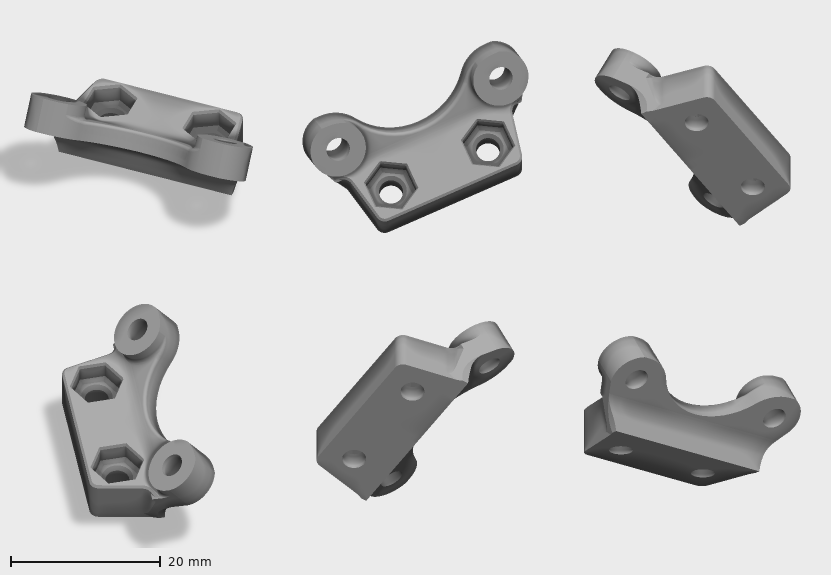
import cadquery as cq
import math

BASE_DEPTH = 9.65
BASE_HEIGHT = 6.3
BASE_FRONT_HALF_WIDTH = 12.4
BASE_BACK_HALF_WIDTH = 10.4
BACK_CORNER_RADIUS = 1.25
TOP_CHAMFER = 0.3

SCREW_X = 7.1
SCREW_Y = 5.4
SCREW_DIAMETER = 3.2
NUT_ACROSS_FLATS = 5.95
NUT_WALL_BOTTOM = 3.7
NUT_MOUTH_OFFSET = 0.2
NUT_MOUTH_DEPTH = 0.4
NUT_SEAT_OFFSET = 0.55
NUT_SEAT_DEPTH = 0.4
SEAT_CONE_DIAMETER = 4.2
SEAT_CONE_DEPTH = 0.5

ARM_ANGLE = 35.0
ARM_THICKNESS = 2.65
ARM_REACH = 8.2
ARM_ROOT_REACH = -0.5
BEND_LINE_Z = 3.78
BEND_RADIUS = 2.5
FLANK_REACH = 3.2
FLANK_ANGLE = 27.0

FLARE_START_Y = 2.9
FLARE_RADIUS = 1.3
FLARE_SLOPE_ANGLE = 26.0
WEB_MID_HALF_WIDTH = 13.14

BOSS_X = 11.915
BOSS_RADIUS = 3.8
BOSS_REACH = 4.55
BOSS_HEIGHT = 4.6
BOSS_HOLE_DIAMETER = 3.2
BOSS_FILLET = 0.5
OPENING_RADIUS = 9.4
OPENING_APEX_REACH = 1.83
SHOULDER_RADIUS = 5.25
OPENING_EDGE_FILLET = 0.45

TOLERANCE = 0.01

COS_ARM = math.cos(math.radians(ARM_ANGLE))
SIN_ARM = math.sin(math.radians(ARM_ANGLE))
TAN_FLANK = math.tan(math.radians(FLANK_ANGLE))
LOWER_TANGENT = BEND_RADIUS * math.tan(math.radians((90 - ARM_ANGLE) / 2))
UPPER_TANGENT = BEND_RADIUS * math.tan(math.radians(ARM_ANGLE / 2))

FLANK_X = BOSS_X + math.sqrt(BOSS_RADIUS**2 - (BOSS_REACH - FLANK_REACH) ** 2)
ROOT_REACH = LOWER_TANGENT
ROOT_X = FLANK_X - (FLANK_REACH - ROOT_REACH) * TAN_FLANK

ARM_PLANE = cq.Plane(origin=(0, 0, BEND_LINE_Z), xDir=(-1, 0, 0), normal=(0, SIN_ARM, COS_ARM))


def flank_x_at(reach):
    """Half width of the arm where its straight flanks pass the given reach."""
    return FLANK_X - (FLANK_REACH - reach) * TAN_FLANK


def arm_point(reach, height):
    """(Y, Z) of a point on the arm, from its reach and its height above the underside."""
    y = height * SIN_ARM - reach * COS_ARM
    z = BEND_LINE_Z + height * COS_ARM + reach * SIN_ARM
    return y, z


CREASE_Y = (BEND_LINE_Z + ARM_THICKNESS / COS_ARM - BASE_HEIGHT) * COS_ARM / SIN_ARM


def chamfer_top_rim(body, back_y):
    """Chamfer the outer edges of the base top that lie between the crease and back_y."""
    rim = cq.selectors.BoxSelector(
        (-BOSS_X - BOSS_RADIUS, CREASE_Y + TOLERANCE, BASE_HEIGHT - TOLERANCE),
        (BOSS_X + BOSS_RADIUS, back_y - TOLERANCE, BASE_HEIGHT + TOLERANCE),
    )
    return body.edges(rim).chamfer(TOP_CHAMFER)


def make_base():
    base = (
        cq.Workplane("XY")
        .polyline([
            (-BASE_FRONT_HALF_WIDTH, 0),
            (BASE_FRONT_HALF_WIDTH, 0),
            (BASE_BACK_HALF_WIDTH, BASE_DEPTH),
            (-BASE_BACK_HALF_WIDTH, BASE_DEPTH),
        ])
        .close()
        .extrude(BASE_HEIGHT)
    )
    base = base.edges("|Z and >Y").fillet(BACK_CORNER_RADIUS)
    overhang = (
        cq.Workplane("YZ")
        .polyline([(0, 0), (CREASE_Y, BASE_HEIGHT), (0, BASE_HEIGHT)])
        .close()
        .extrude(BASE_FRONT_HALF_WIDTH, both=True)
    )
    return chamfer_top_rim(base.cut(overhang), BASE_DEPTH + 2 * TOLERANCE)


def base_half_width_at(y):
    return BASE_FRONT_HALF_WIDTH - (BASE_FRONT_HALF_WIDTH - BASE_BACK_HALF_WIDTH) * y / BASE_DEPTH


def make_flare_prism():
    """Plan of the web: concave arcs leave the base sides tangentially and run out to the arm flanks."""
    start_angle = math.atan2(BASE_FRONT_HALF_WIDTH - BASE_BACK_HALF_WIDTH, BASE_DEPTH)
    end_angle = math.radians(90 - FLARE_SLOPE_ANGLE)
    start_x = base_half_width_at(FLARE_START_Y)
    center_x = start_x + FLARE_RADIUS * math.cos(start_angle)
    center_y = FLARE_START_Y + FLARE_RADIUS * math.sin(start_angle)

    def arc_point(angle):
        return center_x - FLARE_RADIUS * math.cos(angle), center_y - FLARE_RADIUS * math.sin(angle)

    mid = arc_point((start_angle + end_angle) / 2)
    end = arc_point(end_angle)
    outer_x = BOSS_X + BOSS_RADIUS
    outer_y = end[1] - (outer_x - end[0]) * math.tan(math.radians(FLARE_SLOPE_ANGLE))
    half = (
        cq.Workplane("XY")
        .moveTo(0, FLARE_START_Y)
        .lineTo(start_x, FLARE_START_Y)
        .threePointArc(mid, end)
        .lineTo(outer_x, outer_y)
        .lineTo(outer_x, -BASE_DEPTH)
        .lineTo(0, -BASE_DEPTH)
        .close()
        .extrude(2 * BASE_HEIGHT)
    )
    return half.union(half.mirror("YZ"))


def make_flank_prism():
    """Wedge between the straight arm flanks, continued back through the web."""
    apex_reach = FLANK_REACH - FLANK_X / TAN_FLANK
    return (
        cq.Workplane(ARM_PLANE)
        .polyline([(0, apex_reach), (FLANK_X, FLANK_REACH), (-FLANK_X, FLANK_REACH)])
        .close()
        .extrude(BASE_DEPTH, both=True)
    )


def make_web():
    """Bend that carries the base front up into the arm, widening towards the arm."""
    arc_angle = math.radians(90 - ARM_ANGLE) / 2
    bend_start_z = BEND_LINE_Z - LOWER_TANGENT
    arc_mid = (
        -BEND_RADIUS * (1 - math.cos(arc_angle)),
        bend_start_z + BEND_RADIUS * math.sin(arc_angle),
    )
    root_bottom = arm_point(ROOT_REACH, 0)
    root_top = arm_point(ROOT_REACH, ARM_THICKNESS)
    outer_x = BOSS_X + BOSS_RADIUS
    section = (
        cq.Workplane("YZ")
        .moveTo(0, 0)
        .lineTo(FLARE_START_Y, 0)
        .lineTo(FLARE_START_Y, BASE_HEIGHT)
        .lineTo(CREASE_Y, BASE_HEIGHT)
        .lineTo(*root_top)
        .lineTo(*root_bottom)
        .threePointArc(arc_mid, (0, bend_start_z))
        .close()
        .extrude(outer_x, both=True)
    )
    silhouette = (
        cq.Workplane("XZ")
        .moveTo(-BASE_FRONT_HALF_WIDTH, 0)
        .lineTo(BASE_FRONT_HALF_WIDTH, 0)
        .threePointArc((WEB_MID_HALF_WIDTH, bend_start_z), (ROOT_X, root_bottom[1]))
        .lineTo(outer_x, root_bottom[1])
        .lineTo(outer_x, root_top[1])
        .lineTo(-outer_x, root_top[1])
        .lineTo(-outer_x, root_bottom[1])
        .lineTo(-ROOT_X, root_bottom[1])
        .threePointArc((-WEB_MID_HALF_WIDTH, bend_start_z), (-BASE_FRONT_HALF_WIDTH, 0))
        .close()
        .extrude(BASE_DEPTH, both=True)
    )
    web = chamfer_top_rim(section.intersect(make_flare_prism()), FLARE_START_Y)
    return web.intersect(silhouette).intersect(make_flank_prism())


def make_crease_fillet():
    """Concave round where the base top runs into the arm top."""
    crease_reach = (BASE_HEIGHT - BEND_LINE_Z - ARM_THICKNESS * COS_ARM) / SIN_ARM
    center_y = CREASE_Y + UPPER_TANGENT
    half_angle = math.radians(ARM_ANGLE / 2)
    arc_mid = (
        center_y - BEND_RADIUS * math.sin(half_angle),
        BASE_HEIGHT + BEND_RADIUS * (1 - math.cos(half_angle)),
    )
    half_width = base_half_width_at(center_y) - TOP_CHAMFER
    return (
        cq.Workplane("YZ")
        .moveTo(center_y, BASE_HEIGHT)
        .threePointArc(arc_mid, arm_point(crease_reach + UPPER_TANGENT, ARM_THICKNESS))
        .lineTo(*arm_point(crease_reach + UPPER_TANGENT, ARM_THICKNESS / 2))
        .lineTo(center_y, BASE_HEIGHT / 2)
        .close()
        .extrude(half_width, both=True)
    )


def arm_outline(root_reach, height):
    """Arm outline in front of root_reach, extruded from the arm underside."""
    root_x = flank_x_at(root_reach)
    opening_center = OPENING_APEX_REACH + OPENING_RADIUS
    shoulder_center = ARM_REACH - SHOULDER_RADIUS
    center_distance = OPENING_RADIUS + SHOULDER_RADIUS
    drop = opening_center - shoulder_center
    shoulder_x = math.sqrt(center_distance**2 - drop**2)
    tangent_x = shoulder_x * OPENING_RADIUS / center_distance
    tangent_reach = opening_center - drop * OPENING_RADIUS / center_distance
    shoulder_angle = (math.atan2(drop, -shoulder_x) + math.pi / 2) / 2
    shoulder_mid_x = shoulder_x + SHOULDER_RADIUS * math.cos(shoulder_angle)
    shoulder_mid_reach = shoulder_center + SHOULDER_RADIUS * math.sin(shoulder_angle)
    flat_x = BOSS_X + math.sqrt(BOSS_RADIUS**2 - (ARM_REACH - BOSS_REACH) ** 2)
    side = BOSS_X + BOSS_RADIUS
    return (
        cq.Workplane(ARM_PLANE)
        .moveTo(-root_x, root_reach)
        .lineTo(root_x, root_reach)
        .lineTo(FLANK_X, FLANK_REACH)
        .threePointArc((side, BOSS_REACH), (flat_x, ARM_REACH))
        .lineTo(shoulder_x, ARM_REACH)
        .threePointArc((shoulder_mid_x, shoulder_mid_reach), (tangent_x, tangent_reach))
        .threePointArc((0, OPENING_APEX_REACH), (-tangent_x, tangent_reach))
        .threePointArc((-shoulder_mid_x, shoulder_mid_reach), (-shoulder_x, ARM_REACH))
        .lineTo(-flat_x, ARM_REACH)
        .threePointArc((-side, BOSS_REACH), (-FLANK_X, FLANK_REACH))
        .close()
        .extrude(height)
    )


def boss_cylinders(radius):
    return (
        cq.Workplane(ARM_PLANE)
        .pushPoints([(-BOSS_X, BOSS_REACH), (BOSS_X, BOSS_REACH)])
        .circle(radius)
        .extrude(BOSS_HEIGHT)
    )


def make_bosses():
    """Full-height cylinders trimmed by the arm outline."""
    return boss_cylinders(BOSS_RADIUS).intersect(arm_outline(0, BOSS_HEIGHT))


def arm_top_arcs(body):
    """Circular edges lying in the top face of the arm."""
    arcs = []
    for edge in body.edges("%CIRCLE").vals():
        heights = [ARM_PLANE.toLocalCoords(edge.positionAt(t)).z for t in (0, 0.5, 1)]
        if all(abs(height - ARM_THICKNESS) < TOLERANCE for height in heights):
            arcs.append(edge)
    return arcs


def add_boss_fillets(body):
    """Concave rounds where the boss walls meet the arm top."""
    edges = [edge for edge in arm_top_arcs(body) if abs(edge.radius() - BOSS_RADIUS) < TOLERANCE]
    return body.newObject(edges).fillet(BOSS_FILLET)


def add_opening_fillet(body):
    """Convex round along the top edge of the opening."""
    edges = [edge for edge in arm_top_arcs(body) if abs(edge.radius() - OPENING_RADIUS) < TOLERANCE]
    return body.newObject(edges).fillet(OPENING_EDGE_FILLET)


def hexagon(x, z, across_flats):
    corner_diameter = across_flats / math.cos(math.pi / 6)
    plane = cq.Plane(origin=(x, SCREW_Y, z), xDir=(0, 1, 0), normal=(0, 0, 1))
    return cq.Workplane(plane).polygon(6, corner_diameter)


def hexagon_taper(x, low_z, low_flats, high_z, high_flats):
    low = hexagon(x, low_z, low_flats).wires().val()
    high = hexagon(x, high_z, high_flats).wires().val()
    return cq.Workplane(cq.Solid.makeLoft([low, high], True))


def cut_nut_pocket(body, x):
    """Hexagonal pocket with a flared mouth and a tapered seat, over a screw hole with a conical lead-in."""
    mouth_z = BASE_HEIGHT - NUT_MOUTH_DEPTH
    seat_z = NUT_WALL_BOTTOM - NUT_SEAT_DEPTH
    cone_z = seat_z - SEAT_CONE_DEPTH
    mouth_flats = NUT_ACROSS_FLATS + 2 * NUT_MOUTH_OFFSET
    seat_flats = NUT_ACROSS_FLATS - 2 * NUT_SEAT_OFFSET
    cone = cq.Solid.makeCone(
        SCREW_DIAMETER / 2, SEAT_CONE_DIAMETER / 2, SEAT_CONE_DEPTH, cq.Vector(x, SCREW_Y, cone_z)
    )
    screw = cq.Workplane("XY").center(x, SCREW_Y).circle(SCREW_DIAMETER / 2).extrude(BASE_HEIGHT)
    body = body.cut(hexagon_taper(x, mouth_z, NUT_ACROSS_FLATS, BASE_HEIGHT, mouth_flats))
    body = body.cut(hexagon(x, NUT_WALL_BOTTOM, NUT_ACROSS_FLATS).extrude(mouth_z - NUT_WALL_BOTTOM))
    body = body.cut(hexagon_taper(x, seat_z, seat_flats, NUT_WALL_BOTTOM, NUT_ACROSS_FLATS))
    return body.cut(cq.Workplane(cone)).cut(screw)


arm = arm_outline(ARM_ROOT_REACH, ARM_THICKNESS).union(make_bosses())
arm = add_opening_fillet(add_boss_fillets(arm))
body = make_base().union(make_web()).union(make_crease_fillet()).union(arm)
for screw_x in (-SCREW_X, SCREW_X):
    body = cut_nut_pocket(body, screw_x)
result = body.cut(boss_cylinders(BOSS_HOLE_DIAMETER / 2))